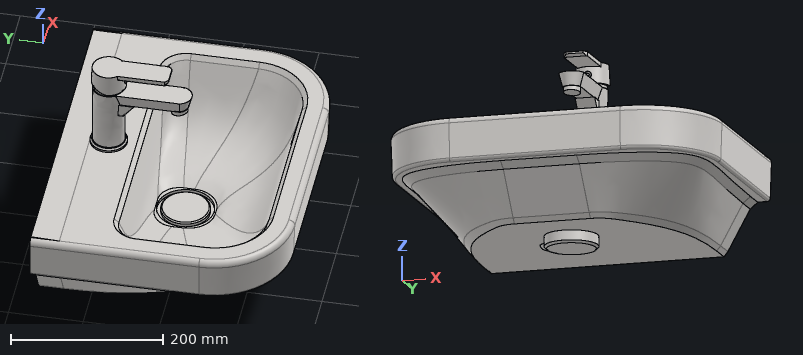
import cadquery as cq
import math


RIM_WIDTH = 449.5
RIM_DEPTH = 334.0
RIM_HEIGHT = 59.8
RIM_CORNER_RADIUS = 108.0
RIM_DRAFT = 2.0
RIM_TOP_FILLET = 8.0
RIM_BOTTOM_FILLET = 4.5
WALL_OVERSHOOT = 45.0
WALL_CORNER = 4.5

STRIP_WIDTH = RIM_WIDTH - 2 * RIM_TOP_FILLET
STRIP_DEPTH = 38.0
STRIP_RISE = 1.5

SKIRT_SECTIONS = [
    (-RIM_HEIGHT, 206.0, 316.0, 175.3, 292.0),
    (-68.5, 195.5, 302.5, 166.5, 281.0),
    (-123.5, 165.0, 258.5, 92.5, 241.5),
    (-130.5, 159.5, 252.0, 85.5, 235.5),
]
SKIRT_SIDE_DEPTH = 33.5
SKIRT_FRONT_HALF_WIDTH = 52.0

OPENING_LIP = 6.5
BOWL_SECTIONS = [
    (-OPENING_LIP, 187.0, 106.5, 299.0, 29.0, 72.0),
    (-30.0, 170.8, 108.0, 291.5, 29.0, 72.0),
    (-73.3, 130.5, 113.2, 262.0, 29.0, 63.0),
    (-91.0, 76.5, 120.5, 224.5, 29.0, 45.0),
    (-101.0, 40.5, 126.0, 206.0, 29.0, 36.0),
]
BOWL_FLOOR_Z = BOWL_SECTIONS[-1][0]

DRAIN_DEPTH = 165.5
OUTLET_RADIUS = 36.0
OUTLET_BOTTOM_Z = -147.0
OUTLET_CHAMFER = 3.0
SEAT_RADIUS = 38.0
SEAT_DEPTH = 4.5
PLUG_RADIUS = 33.0
PLUG_DOME = 2.0
PLUG_PROUD = 2.0
PLUG_CHAMFER = 2.0

OVERFLOW_RADIUS = 11.5
OVERFLOW_LENGTH = 31.5
OVERFLOW_OFFSET = 22.5
OVERFLOW_START_Z = -135.3
OVERFLOW_DIRECTION = (-1.3, 1.0, 0.6)

TAP_X = -2.0
TAP_DEPTH = 63.0
FLANGE_RADIUS = 24.5
FLANGE_HEIGHT = 5.0
FLANGE_CHAMFER = 2.2
COLUMN_HALF_DEPTH = 21.5
COLUMN_TOP_Z = 91.5
COLUMN_SECTIONS = [(FLANGE_HEIGHT, 20.0), (27.0, 17.5), (54.0, 18.5), (COLUMN_TOP_Z, 20.5)]
SPOUT_HALF_WIDTH = 17.0
SPOUT_NOSE_BACK = 160.5
SPOUT_FRONT = 174.5
SPOUT_HEIGHT = 18.5
SPOUT_TAPER = 15.0
GUSSET_FRONT = 99.0
GUSSET_BOTTOM_Z = 55.7
GUSSET_HALF_WIDTH = 13.5
AERATOR_RADIUS = 11.2
AERATOR_FRONT = 157.7
AERATOR_BOTTOM_Z = 66.0
AERATOR_TILT = 8.0
NECK_RADIUS = 19.8

LEVER_TOP_Z = 125.0
HEAD_BOTTOM_Z = 96.0
HEAD_BACK_Z = 104.0
HEAD_RADIUS = 23.5
HEAD_TAPER = 3.0
PLATE_THICKNESS = 6.5
PLATE_HALF_WIDTH = 16.0
PLATE_FRONT = 145.0
PLATE_CORNER = 4.5
PLATE_TIP_BEVEL = 3.5
MARK_Z = 107.0
MARK_RADIUS = 5.0
MARK_BORE = 2.2
MARK_PROUD = 0.5


def rounded_outline(z, half_width, back, front, back_radius, front_radius):
    """Closed outline at height z, symmetric about x = 0, with four rounded corners."""
    back_bulge = back_radius * (1 - math.sqrt(0.5))
    front_bulge = front_radius * (1 - math.sqrt(0.5))
    return (
        cq.Workplane("XY", origin=(0, 0, z))
        .moveTo(-half_width + back_radius, -back)
        .lineTo(half_width - back_radius, -back)
        .threePointArc((half_width - back_bulge, -back - back_bulge), (half_width, -back - back_radius))
        .lineTo(half_width, -front + front_radius)
        .threePointArc((half_width - front_bulge, -front + front_bulge), (half_width - front_radius, -front))
        .lineTo(-half_width + front_radius, -front)
        .threePointArc((-half_width + front_bulge, -front + front_bulge), (-half_width, -front + front_radius))
        .lineTo(-half_width, -back - back_radius)
        .threePointArc((-half_width + back_bulge, -back - back_bulge), (-half_width + back_radius, -back))
        .close()
    )


def loft_outlines(sections, ruled):
    wires = [rounded_outline(*section).wire().val() for section in sections]
    return cq.Workplane(cq.Solid.makeLoft(wires, ruled))


def cylinder(x, depth, z, radius, height):
    return cq.Workplane("XY", origin=(x, -depth, z)).circle(radius).extrude(height)


def make_rim():
    """Drafted slab with a rounded front, flush with the wall."""
    draft = math.radians(RIM_DRAFT)
    flare = RIM_TOP_FILLET * (1 / math.cos(draft) + math.tan(draft) - 1)
    half_width = RIM_WIDTH / 2 + flare
    front = RIM_DEPTH + flare
    return (
        rounded_outline(0, half_width, -WALL_OVERSHOOT, front, WALL_CORNER, RIM_CORNER_RADIUS)
        .extrude(-RIM_HEIGHT, taper=RIM_DRAFT)
        .faces(">Z").edges().fillet(RIM_TOP_FILLET)
        .faces("<Z").edges().fillet(RIM_BOTTOM_FILLET)
    )


def skirt_outline(z, half_width, front, corner_x, corner_depth):
    """Outline at height z with each front corner one broad curve through its corner point."""
    flat = SKIRT_FRONT_HALF_WIDTH
    side = -SKIRT_SIDE_DEPTH
    return (
        cq.Workplane("XY", origin=(0, 0, z))
        .moveTo(-half_width, WALL_OVERSHOOT)
        .lineTo(half_width, WALL_OVERSHOOT)
        .lineTo(half_width, side)
        .spline([(corner_x, -corner_depth), (flat, -front)], [(0, -1), (-1, 0)], includeCurrent=True)
        .lineTo(-flat, -front)
        .spline([(-corner_x, -corner_depth), (-half_width, side)], [(-1, 0), (0, 1)], includeCurrent=True)
        .close()
    )


def make_skirt():
    """Underside of the basin, narrowing to a flat base."""
    wires = [skirt_outline(*section).wire().val() for section in SKIRT_SECTIONS]
    return cq.Workplane(cq.Solid.makeLoft(wires, True))


def make_back_strip():
    return (
        cq.Workplane("YZ", origin=(-STRIP_WIDTH / 2, 0, 0))
        .polyline([(0, 0), (-STRIP_DEPTH, 0), (0, STRIP_RISE)])
        .close()
        .extrude(STRIP_WIDTH)
    )


def make_outlet():
    """Round outlet under the basin with the overflow channel joining it from the back left."""
    floor_gap = BOWL_FLOOR_Z - OUTLET_BOTTOM_Z
    outlet = cylinder(0, DRAIN_DEPTH, OUTLET_BOTTOM_Z, OUTLET_RADIUS, floor_gap - SEAT_DEPTH)
    outlet = outlet.faces("<Z").chamfer(OUTLET_CHAMFER)
    start = cq.Vector(-OVERFLOW_OFFSET, -DRAIN_DEPTH + OVERFLOW_OFFSET, OVERFLOW_START_Z)
    direction = cq.Vector(*OVERFLOW_DIRECTION)
    overflow = cq.Solid.makeCylinder(OVERFLOW_RADIUS, OVERFLOW_LENGTH, start, direction)
    return outlet.union(cq.Workplane(overflow))


def make_bowl_cavity():
    """Bowl with a sloping lip around its opening."""
    _, half_width, back, front, back_radius, front_radius = BOWL_SECTIONS[0]
    opening = (
        0,
        half_width + OPENING_LIP,
        back - OPENING_LIP,
        front + OPENING_LIP,
        back_radius + OPENING_LIP,
        front_radius + OPENING_LIP,
    )
    lip = loft_outlines([opening, BOWL_SECTIONS[0]], True)
    return lip.union(loft_outlines(BOWL_SECTIONS, False))


def make_basin():
    behind_wall = cq.Workplane("XY", origin=(0, WALL_OVERSHOOT, 0)).box(
        2 * RIM_WIDTH, 2 * WALL_OVERSHOOT, RIM_WIDTH
    )
    seat = cylinder(0, DRAIN_DEPTH, BOWL_FLOOR_Z - SEAT_DEPTH, SEAT_RADIUS, 2 * SEAT_DEPTH)
    return (
        make_rim()
        .union(make_skirt())
        .cut(behind_wall)
        .union(make_back_strip())
        .cut(make_bowl_cavity())
        .cut(seat)
        .union(make_outlet())
    )


def make_plug():
    """Domed drain plug resting in the seat."""
    edge_height = SEAT_DEPTH + PLUG_PROUD
    return (
        cq.Workplane("XZ", origin=(0, -DRAIN_DEPTH, BOWL_FLOOR_Z - SEAT_DEPTH))
        .moveTo(0, 0)
        .lineTo(PLUG_RADIUS, 0)
        .lineTo(PLUG_RADIUS, edge_height - PLUG_CHAMFER)
        .lineTo(PLUG_RADIUS - PLUG_CHAMFER, edge_height)
        .lineTo(0, edge_height + PLUG_DOME)
        .close()
        .revolve(360, (0, 0, 0), (0, 1, 0))
    )


def make_below_head():
    """Space under the lever head, whose underside slopes up to the back."""
    reach = 2 * HEAD_RADIUS
    head_back = TAP_DEPTH - HEAD_RADIUS
    return (
        cq.Workplane("YZ", origin=(TAP_X - reach, 0, 0))
        .moveTo(-TAP_DEPTH - reach, COLUMN_TOP_Z)
        .lineTo(-TAP_DEPTH - reach, HEAD_BOTTOM_Z)
        .lineTo(-TAP_DEPTH, HEAD_BOTTOM_Z)
        .lineTo(-head_back, HEAD_BACK_Z)
        .lineTo(-head_back, COLUMN_TOP_Z)
        .close()
        .extrude(2 * reach)
    )


def make_column():
    """Waisted column, oval in plan."""
    wires = [
        cq.Workplane("XY", origin=(TAP_X, -TAP_DEPTH, z)).ellipse(half_width, COLUMN_HALF_DEPTH).val()
        for z, half_width in COLUMN_SECTIONS
    ]
    return cq.Workplane(cq.Solid.makeLoft(wires, False))


def make_spout():
    """Flat-topped spout with a rounded nose and sides sloping in below, on a gusset."""
    spout = (
        cq.Workplane("XY", origin=(TAP_X, 0, COLUMN_TOP_Z))
        .moveTo(-SPOUT_HALF_WIDTH, -TAP_DEPTH)
        .lineTo(-SPOUT_HALF_WIDTH, -SPOUT_NOSE_BACK)
        .threePointArc((0, -SPOUT_FRONT), (SPOUT_HALF_WIDTH, -SPOUT_NOSE_BACK))
        .lineTo(SPOUT_HALF_WIDTH, -TAP_DEPTH)
        .close()
        .extrude(-SPOUT_HEIGHT, taper=SPOUT_TAPER)
    )
    column_front = TAP_DEPTH + COLUMN_HALF_DEPTH
    gusset = (
        cq.Workplane("YZ", origin=(TAP_X - GUSSET_HALF_WIDTH, 0, 0))
        .moveTo(-TAP_DEPTH, COLUMN_TOP_Z - SPOUT_HEIGHT)
        .lineTo(-GUSSET_FRONT, COLUMN_TOP_Z - SPOUT_HEIGHT)
        .lineTo(-column_front, GUSSET_BOTTOM_Z)
        .lineTo(-TAP_DEPTH, GUSSET_BOTTOM_Z)
        .close()
        .extrude(2 * GUSSET_HALF_WIDTH)
    )
    return spout.union(gusset)


def make_aerator():
    """Nozzle under the nose of the spout, tipped slightly forward."""
    tilt = math.radians(AERATOR_TILT)
    bottom = cq.Vector(TAP_X, -AERATOR_FRONT, AERATOR_BOTTOM_Z)
    upward = cq.Vector(0, math.sin(tilt), math.cos(tilt))
    return cq.Workplane(cq.Solid.makeCylinder(AERATOR_RADIUS, SPOUT_HEIGHT, bottom, upward))


def make_tap():
    flange = cylinder(TAP_X, TAP_DEPTH, 0, FLANGE_RADIUS, FLANGE_HEIGHT)
    flange = flange.faces(">Z").chamfer(FLANGE_CHAMFER)
    neck = cylinder(TAP_X, TAP_DEPTH, COLUMN_TOP_Z, NECK_RADIUS, LEVER_TOP_Z - COLUMN_TOP_Z)
    return (
        flange
        .union(make_column())
        .union(make_spout())
        .union(make_aerator())
        .union(neck.intersect(make_below_head()))
    )


def make_lever():
    """Round head with a flat handle plate and a ring mark on its front."""
    head = (
        cq.Workplane("XY", origin=(TAP_X, -TAP_DEPTH, HEAD_BOTTOM_Z))
        .circle(HEAD_RADIUS)
        .extrude(LEVER_TOP_Z - HEAD_BOTTOM_Z, taper=HEAD_TAPER)
    )
    plate_length = PLATE_FRONT - TAP_DEPTH
    plate = (
        cq.Workplane("XY", origin=(TAP_X, -TAP_DEPTH - plate_length / 2, LEVER_TOP_Z - PLATE_THICKNESS / 2))
        .box(2 * PLATE_HALF_WIDTH, plate_length, PLATE_THICKNESS)
        .edges("<Z and <Y").chamfer(PLATE_TIP_BEVEL)
        .edges("|Z and <Y").chamfer(PLATE_CORNER)
    )
    mark = (
        cq.Workplane("XZ", origin=(TAP_X, -TAP_DEPTH, MARK_Z))
        .circle(MARK_RADIUS)
        .circle(MARK_BORE)
        .extrude(HEAD_RADIUS + MARK_PROUD)
    )
    return head.cut(make_below_head()).union(plate).union(mark)


basin = make_basin()
plug = make_plug()
tap = make_tap()
lever = make_lever()

result = cq.Compound.makeCompound([body.solids().val() for body in (basin, plug, tap, lever)])